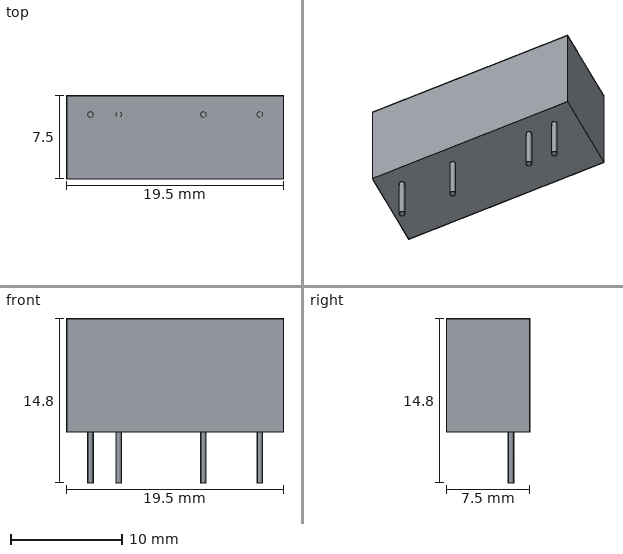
import cadquery as cq

housing_length = 19.51
housing_width = 7.5
total_height = 14.79
pin_length = 4.58
housing_height = total_height - pin_length

pin_diameter = 0.5
pin_pitch = 2.54
pin_grid_steps = [-3, -2, 1, 3]
pin_row_to_back = 1.7
pin_row_y = housing_width / 2 - pin_row_to_back


def make_housing():
    return cq.Workplane("XY").box(
        housing_length, housing_width, housing_height, centered=(True, True, False)
    )


def make_pin(grid_step):
    """Round pin hanging from the underside of the housing."""
    return (
        cq.Workplane("XY")
        .center(grid_step * pin_pitch, pin_row_y)
        .circle(pin_diameter / 2)
        .extrude(-pin_length)
    )


housing = make_housing()
pins = [make_pin(grid_step) for grid_step in pin_grid_steps]

result = cq.Compound.makeCompound([housing.val(), *[pin.val() for pin in pins]])